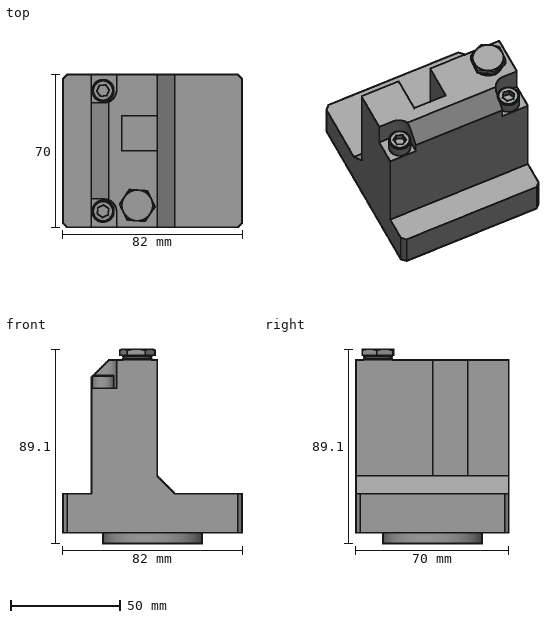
import cadquery as cq

base_length = 82.0
part_width = 70.0
base_thickness = 18.0
base_corner_chamfer = 2.0
spigot_diameter = 45.4
spigot_height = 5.0
base_top = spigot_height + base_thickness

block_left = -28.0
block_right = 2.2
block_top = 84.1
top_chamfer = 8.0
foot_chamfer = 8.0

slot_depth = 16.4
slot_width = 16.0
slot_center_y = 8.1
slot_floor = base_top + foot_chamfer

pocket_depth = 12.9
pocket_right = -16.4
pocket_inner_y = 22.0
pocket_radius = 6.0
pocket_floor = block_top - pocket_depth
socket_screw_x = -22.6
socket_screw_y = 27.6
socket_head_diameter = 10.0
socket_head_height = 6.0
socket_head_chamfer = 0.5
socket_across_flats = 5.0
socket_depth = 3.0
socket_turns = {1: 5, -1: 25}

plug_x = -6.95
plug_y = -24.9
plug_turn = -4
plug_top = 89.1
plug_head_height = 2.9
plug_across_flats = 14.1
plug_bevel_height = 0.6
neck_diameter = 13.2
groove_diameter = 12.6
groove_height = 0.9


def hexagon_prism(across_flats, height, turn):
    """Upright hexagonal prism whose corners point along X before turning."""
    across_corners = across_flats * 2 / 3**0.5
    prism = cq.Workplane("XY").polygon(6, across_corners).extrude(height)
    return prism.rotate((0, 0, 0), (0, 0, 1), turn)


def cylinder(diameter, bottom, height):
    return cq.Workplane("XY").workplane(offset=bottom).circle(diameter / 2).extrude(height)


def make_base():
    plate = (
        cq.Workplane("XY")
        .workplane(offset=spigot_height)
        .rect(base_length, part_width)
        .extrude(base_thickness)
        .edges("|Z")
        .chamfer(base_corner_chamfer)
    )
    return plate.union(cylinder(spigot_diameter, 0, spigot_height))


def make_block():
    return (
        cq.Workplane("XZ")
        .moveTo(block_left, base_top)
        .lineTo(block_left, block_top - top_chamfer)
        .lineTo(block_left + top_chamfer, block_top)
        .lineTo(block_right, block_top)
        .lineTo(block_right, base_top + foot_chamfer)
        .lineTo(block_right + foot_chamfer, base_top)
        .close()
        .extrude(part_width / 2, both=True)
    )


def make_slot():
    return (
        cq.Workplane("XY")
        .workplane(offset=slot_floor)
        .center(block_right - slot_depth / 2, slot_center_y)
        .rect(slot_depth, slot_width)
        .extrude(block_top - slot_floor)
    )


def make_pocket(side):
    """Corner cut with one rounded inner corner; side is the sign of Y."""
    length = pocket_right - block_left
    width = part_width / 2 - pocket_inner_y
    pocket = cq.Workplane("XY").box(length, width, pocket_depth, centered=False)
    pocket = pocket.edges("|Z and >X and <Y").fillet(pocket_radius)
    pocket = pocket.translate((block_left, pocket_inner_y, pocket_floor))
    return pocket if side > 0 else pocket.mirror("XZ")


def make_socket_screw(side):
    head = cylinder(socket_head_diameter, 0, socket_head_height)
    head = head.faces(">Z").edges().chamfer(socket_head_chamfer)
    socket = hexagon_prism(socket_across_flats, socket_depth, socket_turns[side])
    head = head.cut(socket.translate((0, 0, socket_head_height - socket_depth)))
    return head.translate((socket_screw_x, side * socket_screw_y, pocket_floor))


def make_plug():
    total_height = plug_top - block_top
    neck_height = total_height - plug_head_height
    head = hexagon_prism(plug_across_flats, plug_head_height, plug_turn)
    corner_radius = plug_across_flats / 3**0.5
    bevel = corner_radius - plug_across_flats / 2
    disc = cylinder(2 * corner_radius, 0, plug_head_height)
    disc = disc.faces(">Z").edges().chamfer(plug_bevel_height, bevel)
    head = head.intersect(disc).translate((0, 0, neck_height))
    neck = cylinder(neck_diameter, 0, neck_height)
    groove_bottom = (neck_height - groove_height) / 2
    groove = cylinder(neck_diameter, groove_bottom, groove_height)
    groove = groove.cut(cylinder(groove_diameter, groove_bottom, groove_height))
    return neck.cut(groove).union(head).translate((plug_x, plug_y, block_top))


result = make_base().union(make_block()).cut(make_slot())
for side in (1, -1):
    result = result.cut(make_pocket(side)).union(make_socket_screw(side))
result = result.union(make_plug())